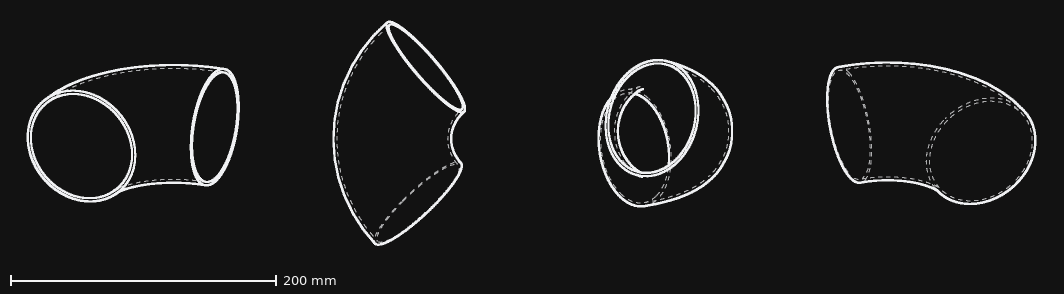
import cadquery as cq

overall_size = 120.5
outer_diameter = 88.9
wall_thickness = 2.6
bend_angle = 90.0

outer_radius = outer_diameter / 2
inner_radius = outer_radius - wall_thickness
bend_radius = overall_size - outer_radius

pipe_section = (
    cq.Workplane("XZ")
    .center(-bend_radius, 0)
    .circle(outer_radius)
    .circle(inner_radius)
)

axis_start = (bend_radius, 0)
axis_end = (bend_radius, -1)
result = pipe_section.revolve(bend_angle, axis_start, axis_end)